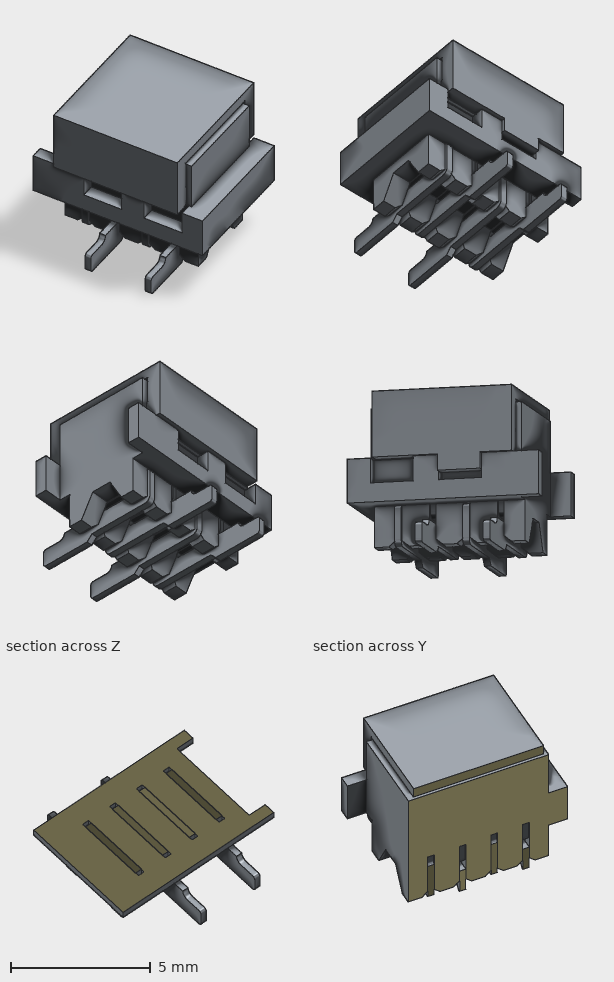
import cadquery as cq
import math

HOUSING_LENGTH = 7.08
WALL_OUTER_WIDTH = 4.955
WALL_BOTTOM = 1.8
WALL_TOP = 3.4
BLOCK_LENGTH = 5.58
BLOCK_WIDTH = 3.98
BLOCK_TOP = 5.275

FOOT_WIDTH = 3.06
FOOT_BOTTOM = 0.31
NOTCH_TOP = 1.31
NOTCH_TOP_WIDTH = 0.82
NOTCH_BOTTOM_WIDTH = 1.925

POCKET_WIDTH = 1.585
POCKET_FLOOR = 2.49
POCKET_DEPTH = 0.525

CAP_LENGTH = 5.17
CAP_WIDTH = 5.275
CAP_TOP = 5.8
CAP_CEILING = 5.375
CAP_INNER_WIDTH = 4.09
GRIP_TOP = 4.27
LEAD_IN_WIDTH = 0.15
LEAD_IN_HEIGHT = 0.16
TAB_BOTTOM = 2.805

CONTACT_COUNT = 4
PITCH = 1.26
CONTACT_THICKNESS = 0.25
HIGH_CONTACT_LIFT = 0.05
CONTACT_TOP = 2.195
CONTACT_SPAN = 7.0
LEG_REACH = CONTACT_SPAN / 2
LEG_TOP = 0.76
LEG_CORNER_RADIUS = 0.13
BAR_TOP = 1.01
BAR_BOTTOM = 0.255
BAR_STEP_RADIUS = BAR_TOP - LEG_TOP
BAR_STEP_REACH = 2.49
LEG_RAMP_START = 1.155
LEG_RAMP_END = 1.39
STEM_REACH = 1.635
STEM_CORNER_RADIUS = 0.24
SHOULDER_TOP = 1.75
SHOULDER_RADIUS = 0.12
SLIT_END = 0.5
SLIT_HEIGHT = 0.255
SLIT_RADIUS = SLIT_HEIGHT / 2
SLIT_TOP = BAR_TOP + SLIT_HEIGHT
ARM_CORNER_RADIUS = 0.23
NECK_REACH = STEM_REACH - 2 * SHOULDER_RADIUS

GROOVE_DEPTH = 0.205
GROOVE_BOTTOM_WIDTH = 0.72

ARC_MIDDLE = math.sqrt(0.5)

contact_places = [(i - (CONTACT_COUNT - 1) / 2) * PITCH for i in range(CONTACT_COUNT)]
contact_lifts = [0.0 if x < 0 else HIGH_CONTACT_LIFT for x in contact_places]
pocket_places = contact_places[1::2]


def box(x_range, y_range, z_range):
    """A plain block between the given limits."""
    (x0, x1), (y0, y1), (z0, z1) = x_range, y_range, z_range
    return cq.Workplane("XY").box(x1 - x0, y1 - y0, z1 - z0, centered=False).translate((x0, y0, z0))


def centred(size):
    """Limits of a size that is centred on zero."""
    return (-size / 2, size / 2)


def around(middle, size):
    """Limits of a size that is centred on a given place."""
    return (middle - size / 2, middle + size / 2)


def extrude_along_x(sketch, length):
    """Extrude a closed Y-Z outline symmetrically about X = 0."""
    return sketch.extrude(length / 2, both=True)


def foot_notch():
    """Trapezoidal channel running along X through the underside of the foot."""
    outline = (
        cq.Workplane("YZ")
        .moveTo(-NOTCH_BOTTOM_WIDTH / 2, FOOT_BOTTOM)
        .lineTo(-NOTCH_TOP_WIDTH / 2, NOTCH_TOP)
        .lineTo(NOTCH_TOP_WIDTH / 2, NOTCH_TOP)
        .lineTo(NOTCH_BOTTOM_WIDTH / 2, FOOT_BOTTOM)
        .close()
    )
    return extrude_along_x(outline, BLOCK_LENGTH)


def contact_slot(x, lift):
    """Slot for one contact, with a flared lead-in at the underside of the foot."""
    slot = box(around(x, CONTACT_THICKNESS), centred(FOOT_WIDTH), (FOOT_BOTTOM, CONTACT_TOP + lift))
    groove_top = FOOT_BOTTOM + GROOVE_DEPTH
    groove = (
        cq.Workplane("XZ")
        .moveTo(x - GROOVE_BOTTOM_WIDTH / 2, FOOT_BOTTOM)
        .lineTo(x - CONTACT_THICKNESS / 2, groove_top)
        .lineTo(x + CONTACT_THICKNESS / 2, groove_top)
        .lineTo(x + GROOVE_BOTTOM_WIDTH / 2, FOOT_BOTTOM)
        .close()
        .extrude(FOOT_WIDTH / 2, both=True)
    )
    return slot.union(groove)


def latch_pocket(x, side):
    """Pocket in the top of the wall on the side of Y given by the sign."""
    outer = WALL_OUTER_WIDTH / 2
    y_range = sorted((side * outer, side * (outer - POCKET_DEPTH)))
    return box(around(x, POCKET_WIDTH), y_range, (POCKET_FLOOR, WALL_TOP))


def make_housing():
    wall_heights = (WALL_BOTTOM, WALL_TOP)
    frame = box(centred(HOUSING_LENGTH), centred(WALL_OUTER_WIDTH), wall_heights)
    open_end = box((-HOUSING_LENGTH / 2, -BLOCK_LENGTH / 2), centred(BLOCK_WIDTH), wall_heights)
    block = box(centred(BLOCK_LENGTH), centred(BLOCK_WIDTH), (WALL_BOTTOM, BLOCK_TOP))
    foot = box(centred(BLOCK_LENGTH), centred(FOOT_WIDTH), (FOOT_BOTTOM, WALL_BOTTOM))
    housing = frame.cut(open_end).union(block).union(foot).cut(foot_notch())
    for x, lift in zip(contact_places, contact_lifts):
        housing = housing.cut(contact_slot(x, lift))
    for x in pocket_places:
        for side in (-1, 1):
            housing = housing.cut(latch_pocket(x, side))
    return housing


def cap_cavity():
    """Space inside the cap: a wide upper part above a narrow stretch that grips the block."""
    grip = BLOCK_WIDTH / 2
    wide = CAP_INNER_WIDTH / 2
    right_side = [
        (grip + LEAD_IN_WIDTH, WALL_TOP),
        (grip, WALL_TOP + LEAD_IN_HEIGHT),
        (grip, GRIP_TOP - (wide - grip)),
        (wide, GRIP_TOP),
        (wide, CAP_CEILING),
    ]
    left_side = [(-y, z) for y, z in reversed(right_side)]
    return extrude_along_x(cq.Workplane("YZ").polyline(right_side + left_side).close(), CAP_LENGTH)


def make_cap():
    shell = box(centred(CAP_LENGTH), centred(CAP_WIDTH), (WALL_TOP, CAP_TOP)).cut(cap_cavity())
    tab_y = (BLOCK_WIDTH / 2 + LEAD_IN_WIDTH, CAP_WIDTH / 2)
    tab = box(around(pocket_places[0], POCKET_WIDTH), tab_y, (TAB_BOTTOM, WALL_TOP))
    return shell.union(tab)


def bulge(y, z, radius, y_sign, z_sign):
    """Middle point of the quarter arc about (y, z) in the quadrant given by the signs."""
    return (y + y_sign * radius * ARC_MIDDLE, z + z_sign * radius * ARC_MIDDLE)


def contact_plate():
    """One contact with its leg towards +Y, centred on X = 0."""
    leg_r = LEG_CORNER_RADIUS
    stem_r = STEM_CORNER_RADIUS
    arm_r = ARM_CORNER_RADIUS
    shoulder_r = SHOULDER_RADIUS
    step_r = BAR_STEP_RADIUS
    ledge_y = shoulder_r - STEM_REACH
    outline = (
        cq.Workplane("YZ")
        .moveTo(LEG_RAMP_START, BAR_BOTTOM)
        .lineTo(LEG_RAMP_END, 0)
        .lineTo(LEG_REACH - leg_r, 0)
        .threePointArc(bulge(LEG_REACH - leg_r, leg_r, leg_r, 1, -1), (LEG_REACH, leg_r))
        .lineTo(LEG_REACH, LEG_TOP - leg_r)
        .threePointArc(bulge(LEG_REACH - leg_r, LEG_TOP - leg_r, leg_r, 1, 1), (LEG_REACH - leg_r, LEG_TOP))
        .lineTo(BAR_STEP_REACH + step_r, LEG_TOP)
        .threePointArc(bulge(BAR_STEP_REACH + step_r, BAR_TOP, step_r, -1, -1), (BAR_STEP_REACH, BAR_TOP))
        .lineTo(SLIT_RADIUS - SLIT_END, BAR_TOP)
        .threePointArc((-SLIT_END, BAR_TOP + SLIT_RADIUS), (SLIT_RADIUS - SLIT_END, SLIT_TOP))
        .lineTo(NECK_REACH - arm_r, SLIT_TOP)
        .threePointArc(
            bulge(NECK_REACH - arm_r, SLIT_TOP + arm_r, arm_r, 1, -1), (NECK_REACH, SLIT_TOP + arm_r)
        )
        .lineTo(NECK_REACH, CONTACT_TOP)
        .lineTo(-NECK_REACH, CONTACT_TOP)
        .lineTo(-NECK_REACH, SHOULDER_TOP + shoulder_r)
        .threePointArc(
            bulge(ledge_y, SHOULDER_TOP + shoulder_r, shoulder_r, 1, -1), (ledge_y, SHOULDER_TOP)
        )
        .threePointArc(
            bulge(ledge_y, SHOULDER_TOP - shoulder_r, shoulder_r, -1, 1),
            (-STEM_REACH, SHOULDER_TOP - shoulder_r),
        )
        .lineTo(-STEM_REACH, BAR_BOTTOM + stem_r)
        .threePointArc(
            bulge(stem_r - STEM_REACH, BAR_BOTTOM + stem_r, stem_r, -1, -1), (stem_r - STEM_REACH, BAR_BOTTOM)
        )
        .close()
    )
    return extrude_along_x(outline, CONTACT_THICKNESS)


def make_contact(index):
    plate = contact_plate()
    if index % 2 == 1:
        plate = plate.rotate((0, 0, 0), (0, 0, 1), 180)
    return plate.translate((contact_places[index], 0, contact_lifts[index]))


housing = make_housing()
cap = make_cap()
contacts = [make_contact(index) for index in range(CONTACT_COUNT)]

result = cq.Compound.makeCompound(
    [housing.val(), cap.val(), *[contact.val() for contact in contacts]]
)